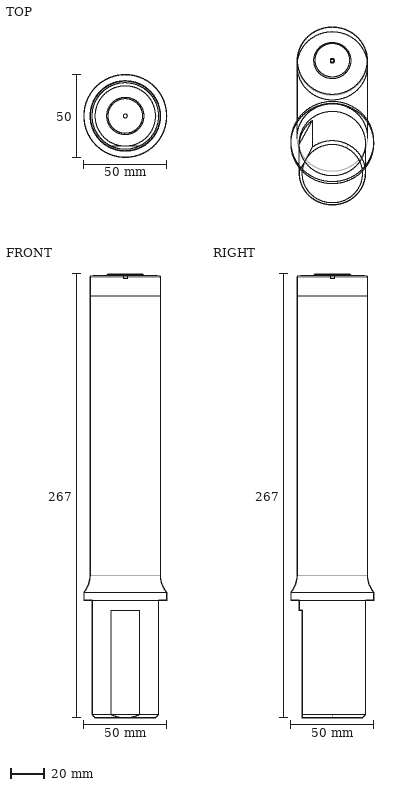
import cadquery as cq
import math

total_height = 267.0
body_diameter = 42.5
body_radius = body_diameter / 2

shank_diameter = 40.0
shank_radius = shank_diameter / 2
shank_length = 70.8
shank_chamfer = 2.0
flat_depth = 2.0
flat_height = 64.5

collar_diameter = 50.0
collar_radius = collar_diameter / 2
collar_thickness = 4.8
flare_height = 10.1

cap_height = 13.4
cap_top_diameter = 42.0
cap_bevel_height = 1.0
shoulder_drop = 1.0
shoulder_rise = 0.3
disc_diameter = 22.5
disc_chamfer = 0.8
center_hole_diameter = 2.5
center_hole_depth = 2.7

collar_top = shank_length + collar_thickness
flare_top = collar_top + flare_height
cap_bottom = total_height - cap_height
shoulder_edge = total_height - shoulder_drop
disc_radius = disc_diameter / 2


def flare_midpoint():
    """Middle of the concave arc that leaves the body vertically and meets the collar rim."""
    flare_width = collar_radius - body_radius
    arc_radius = (flare_width**2 + flare_height**2) / (2 * flare_width)
    half_angle = math.asin(flare_height / arc_radius) / 2
    radius = body_radius + arc_radius * (1 - math.cos(half_angle))
    return radius, flare_top - arc_radius * math.sin(half_angle)


def make_post():
    """Turned post: shank, collar, flare and cylindrical body, with one flat on the shank."""
    turned = (
        cq.Workplane("XZ")
        .lineTo(shank_radius - shank_chamfer, 0)
        .lineTo(shank_radius, shank_chamfer)
        .lineTo(shank_radius, shank_length)
        .lineTo(collar_radius, shank_length)
        .lineTo(collar_radius, collar_top)
        .threePointArc(flare_midpoint(), (body_radius, flare_top))
        .lineTo(body_radius, cap_bottom)
        .lineTo(0, cap_bottom)
        .close()
        .revolve(360, (0, 0, 0), (0, 1, 0))
    )
    flat_cutter = cq.Workplane("XY").box(
        shank_diameter, shank_diameter, flat_height, centered=(True, True, False)
    ).translate((0, flat_depth - shank_diameter, 0))
    return turned.cut(flat_cutter)


def make_cap():
    """Cap seated on the post, with a steeply bevelled rim, a raised disc and a small centre hole."""
    turned = (
        cq.Workplane("XZ", origin=(0, 0, cap_bottom))
        .lineTo(body_radius, 0)
        .lineTo(body_radius, shoulder_edge - cap_bevel_height - cap_bottom)
        .lineTo(cap_top_diameter / 2, shoulder_edge - cap_bottom)
        .lineTo(disc_radius, shoulder_edge + shoulder_rise - cap_bottom)
        .lineTo(disc_radius - disc_chamfer, cap_height)
        .lineTo(0, cap_height)
        .close()
        .revolve(360, (0, 0, 0), (0, 1, 0))
    )
    return turned.faces(">Z").workplane().hole(center_hole_diameter, center_hole_depth)


post = make_post()
cap = make_cap()

result = cq.Compound.makeCompound([post.val(), cap.val()])